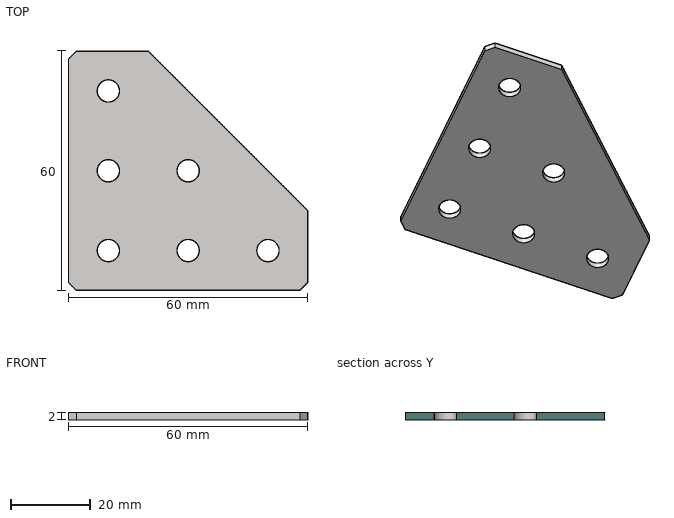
import cadquery as cq

side = 60.0
thickness = 2.0
holes_per_leg = 3
hole_diameter = 5.5
corner_cut = 2.0

pitch = side / holes_per_leg
leg_width = pitch
edge_distance = pitch / 2


def plate():
    """L-shaped corner plate with a sloping brace edge and cut corners."""
    outline = [
        (corner_cut, 0),
        (side - corner_cut, 0),
        (side, corner_cut),
        (side, leg_width),
        (leg_width, side),
        (corner_cut, side),
        (0, side - corner_cut),
        (0, corner_cut),
    ]
    return cq.Workplane("XY").polyline(outline).close().extrude(thickness)


def hole_centres():
    """Triangular grid: each row has one hole fewer than the row below."""
    return [
        (edge_distance + column * pitch, edge_distance + row * pitch)
        for row in range(holes_per_leg)
        for column in range(holes_per_leg - row)
    ]


def hole_cutters():
    """Cylinders for the through holes."""
    return (
        cq.Workplane("XY")
        .pushPoints(hole_centres())
        .circle(hole_diameter / 2)
        .extrude(thickness)
    )


result = plate().cut(hole_cutters())